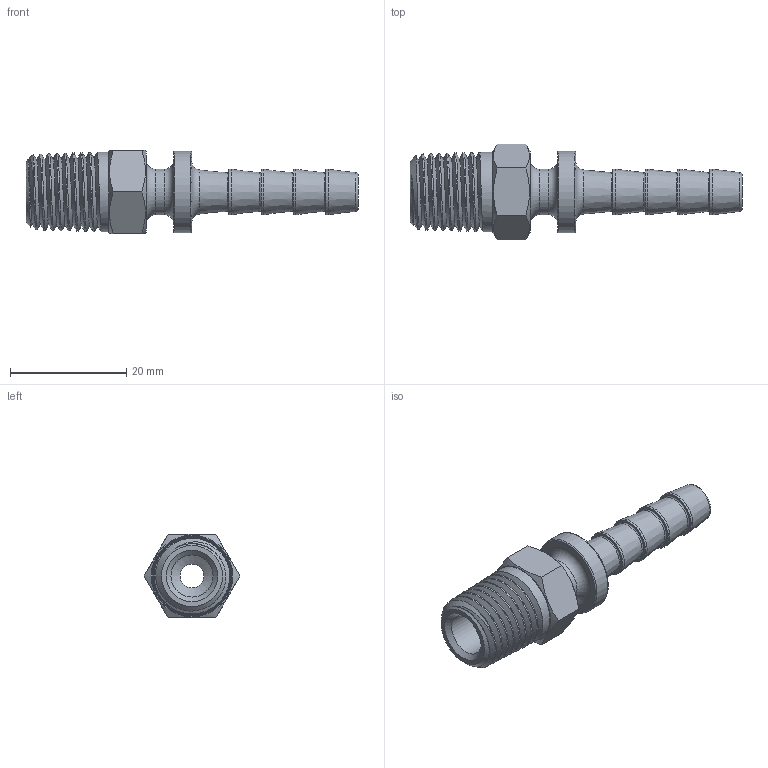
import cadquery as cq
import math


overall_length = 57.15
thread_cone_end = 12.2
hex_start = 14.2875
hex_end = hex_start + 6.37
collar_start = hex_end + 4.75
collar_end = collar_start + 3.1

thread_diameter = 13.716
thread_taper = 1 / 16
thread_pitch = 25.4 / 18
thread_depth = 0.92
thread_root_flat = 0.1
thread_flank_angle = 30.0
thread_start_x = -1.73
thread_turns = 10.12
cutter_overlap = 0.05
thread_end_diameter = 10.5

hex_across_flats = 14.2875
hex_across_corners = hex_across_flats / math.cos(math.pi / 6)
hex_face_diameter = 14.0
hex_chamfer_angle = 30.0

neck_diameter = 7.87
collar_diameter = 13.97
collar_edge_radius = 0.2
neck_fillet = 1.5875

barb_count = 4
barb_pitch = 5.55625
barb_diameter = neck_diameter
barb_root_diameter = 6.62
barb_land = 0.4
barb_root_fillet = 0.2
barb_tip_fillet = 0.4
first_barb_x = overall_length - barb_count * barb_pitch

bore_diameter = 4.06
counterbore_diameter = 7.24
counterbore_depth = 12.7
counterbore_mouth_diameter = 8.9
drill_point_angle = 118.0


def revolve_profile(points):
    """Revolve an (x, radius) outline, closed along the X axis, about that axis."""
    return cq.Workplane("XY").polyline(points).close().revolve(360, (0, 0, 0), (1, 0, 0))


def crest_radius(x):
    """Radius of the thread crest cone at station x."""
    return thread_diameter / 2 - (thread_cone_end - x) * thread_taper / 2


def fillet_circle(body, x, circle_radius, fillet_radius):
    """Round the circular edge of the given radius that lies around the X axis at station x."""
    tolerance = 0.01
    rims = []
    for edge in body.edges("%CIRCLE").vals():
        at_station = abs(edge.Center().x - x) < tolerance
        if at_station and abs(edge.radius() - circle_radius) < tolerance:
            rims.append(edge)
    return body.newObject(rims).fillet(fillet_radius)


def make_thread_groove():
    """Helical trapezoidal cutter following the crest cone, with its axis along X."""
    half_root = thread_root_flat / 2
    cutter_depth = thread_depth + cutter_overlap
    half_mouth = half_root + cutter_depth * math.tan(math.radians(thread_flank_angle))
    mouth = crest_radius(thread_start_x) + cutter_overlap
    root = mouth - cutter_depth
    cone_angle = math.degrees(math.atan(thread_taper / 2))
    section = [(root, -half_root), (root, half_root), (mouth, half_mouth), (mouth, -half_mouth)]

    rails = []
    for radius, shift in section:
        rail = cq.Wire.makeHelix(thread_pitch, thread_turns * thread_pitch, radius, angle=cone_angle)
        rails.append(rail.translate(cq.Vector(0, 0, shift)))
    faces = []
    for rail, next_rail in zip(rails, rails[1:] + rails[:1]):
        faces.extend(cq.Face.makeRuledSurface(rail, next_rail).Faces())

    for corners in ([rail.startPoint() for rail in rails], [rail.endPoint() for rail in rails]):
        faces.append(cq.Face.makeFromWires(cq.Wire.makePolygon(corners, close=True)))

    cutter = cq.Workplane(cq.Solid.makeSolid(cq.Shell.makeShell(faces)))
    return cutter.rotate((0, 0, 0), (0, 1, 0), 90).translate((thread_start_x, 0, 0))


def make_threaded_end():
    """Crest cone with a 45 degree lead-in and a plain shoulder, cut by the thread."""
    end_radius = thread_end_diameter / 2
    shoulder_radius = thread_diameter / 2
    lead_in = (crest_radius(0) - end_radius) / (1 - thread_taper / 2)
    blank = revolve_profile([
        (0, 0),
        (0, end_radius),
        (lead_in, crest_radius(lead_in)),
        (thread_cone_end, shoulder_radius),
        (hex_start, shoulder_radius),
        (hex_start, 0),
    ])
    return blank.cut(make_thread_groove())


def make_hex():
    """Hexagon with flats facing +Z and -Z and its corners turned down at both ends."""
    length = hex_end - hex_start
    prism = cq.Workplane("YZ", origin=(hex_start, 0, 0)).polygon(6, hex_across_corners).extrude(length)
    corner_radius = hex_across_corners / 2
    face_radius = hex_face_diameter / 2
    chamfer_length = (corner_radius - face_radius) * math.tan(math.radians(hex_chamfer_angle))
    envelope = revolve_profile([
        (hex_start, 0),
        (hex_start, face_radius),
        (hex_start + chamfer_length, corner_radius),
        (hex_end - chamfer_length, corner_radius),
        (hex_end, face_radius),
        (hex_end, 0),
    ])
    return prism.intersect(envelope)


def make_neck_and_collar():
    """Round neck and collar; the collar rims are slightly rounded."""
    neck = cq.Workplane("YZ", origin=(hex_end, 0, 0)).circle(neck_diameter / 2)
    neck = neck.extrude(collar_start - hex_end)
    collar = cq.Workplane("YZ", origin=(collar_start, 0, 0)).circle(collar_diameter / 2)
    collar = collar.extrude(collar_end - collar_start).edges().fillet(collar_edge_radius)
    return neck.union(collar)


def make_barbed_stem():
    """Tapered stem followed by the barbs, each a short land and a cone narrowing to the next."""
    land_radius = barb_diameter / 2
    root_radius = barb_root_diameter / 2
    outline = [(collar_end, 0), (collar_end, land_radius), (first_barb_x, root_radius)]
    step_stations = [first_barb_x + i * barb_pitch for i in range(barb_count)]
    for x in step_stations:
        outline.append((x, land_radius))
        outline.append((x + barb_land, land_radius))
        outline.append((x + barb_pitch, root_radius))
    outline.append((overall_length, 0))
    stem = revolve_profile(outline)
    for x in step_stations:
        stem = fillet_circle(stem, x, root_radius, barb_root_fillet)
    return fillet_circle(stem, overall_length, root_radius, barb_tip_fillet)


def make_bore():
    """Through bore with a chamfered, drill-pointed counterbore in the threaded end."""
    bore_radius = bore_diameter / 2
    counterbore_radius = counterbore_diameter / 2
    mouth_radius = counterbore_mouth_diameter / 2
    point_length = (counterbore_radius - bore_radius) / math.tan(math.radians(drill_point_angle / 2))
    return revolve_profile([
        (0, 0),
        (0, mouth_radius),
        (mouth_radius - counterbore_radius, counterbore_radius),
        (counterbore_depth, counterbore_radius),
        (counterbore_depth + point_length, bore_radius),
        (overall_length, bore_radius),
        (overall_length, 0),
    ])


fitting = make_hex().union(make_neck_and_collar()).union(make_barbed_stem())
for shoulder_x in (hex_end, collar_start, collar_end):
    fitting = fillet_circle(fitting, shoulder_x, neck_diameter / 2, neck_fillet)
result = fitting.union(make_threaded_end()).cut(make_bore())